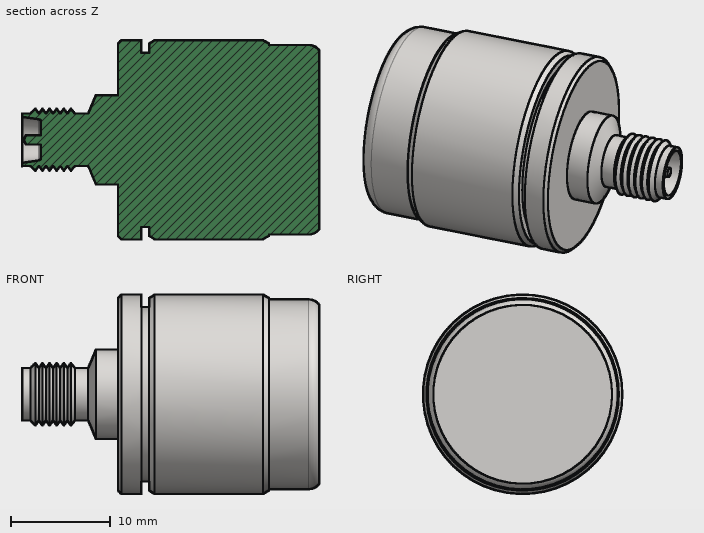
import cadquery as cq

total_length = 29.75

barrel_radius = 2.65
thread_crest_radius = 3.12
thread_pitch = 0.7
thread_count = 6
first_crest_x = 1.3
thread_lead_length = 0.48
thread_runout_length = 0.4
barrel_end_x = 6.6

shoulder_radius = 4.5
shoulder_cone_end_x = 7.38

body_radius = 10.0
flange_start_x = 9.58
flange_end_x = 11.93
flange_chamfer = 0.35

neck_radius = 8.75
body_start_x = 12.7

body_front_chamfer_length = 0.57
body_front_chamfer_depth = 0.35
body_rear_chamfer_start_x = 24.1
body_rear_chamfer_depth = 0.35
collar_start_x = 24.72
collar_radius = 9.52
collar_round_length = 1.07
collar_round_depth = 0.57

bore_mouth_radius = 2.3
bore_end_radius = 2.05
bore_taper_depth = 1.65
floor_radius = 1.95
floor_x = 1.85
pin_radius = 0.48
pin_tip_x = 0.15
pin_tip_length = 0.2


def revolve_about_x(outline):
    """Turn a closed (x, radius) outline once around the X axis."""
    return outline.revolve(360, (0, 0, 0), (1, 0, 0))


def thread_points():
    """Crests and roots of the V-shaped ridges, from the first lead-in to the run-out."""
    points = [(first_crest_x - thread_lead_length, barrel_radius)]
    for i in range(thread_count):
        crest_x = first_crest_x + i * thread_pitch
        is_last = i == thread_count - 1
        root_offset = thread_runout_length if is_last else thread_pitch / 2
        points.append((crest_x, thread_crest_radius))
        points.append((crest_x + root_offset, barrel_radius))
    return points


def make_turned_body():
    """Revolve the outer outline, given as (x, radius), about the X axis."""
    flange_edge_radius = body_radius - flange_chamfer
    outline = cq.Workplane("XY").moveTo(0, 0).lineTo(0, barrel_radius)
    for point in thread_points():
        outline = outline.lineTo(*point)
    outline = (
        outline
        .lineTo(barrel_end_x, barrel_radius)
        .lineTo(shoulder_cone_end_x, shoulder_radius)
        .lineTo(flange_start_x, shoulder_radius)
        .lineTo(flange_start_x, flange_edge_radius)
        .lineTo(flange_start_x + flange_chamfer, body_radius)
        .lineTo(flange_end_x, body_radius)
        .lineTo(flange_end_x, neck_radius)
        .lineTo(body_start_x, neck_radius)
        .lineTo(body_start_x, body_radius - body_front_chamfer_depth)
        .lineTo(body_start_x + body_front_chamfer_length, body_radius)
        .lineTo(body_rear_chamfer_start_x, body_radius)
        .lineTo(collar_start_x, body_radius - body_rear_chamfer_depth)
        .lineTo(collar_start_x, collar_radius)
        .lineTo(total_length - collar_round_length, collar_radius)
        .tangentArcPoint((total_length, collar_radius - collar_round_depth), relative=False)
        .lineTo(total_length, 0)
        .close()
    )
    return revolve_about_x(outline)


def make_bore():
    """Slightly tapered socket with a short, steeper cone leading to its flat floor."""
    outline = (
        cq.Workplane("XY")
        .moveTo(0, 0)
        .lineTo(0, bore_mouth_radius)
        .lineTo(bore_taper_depth, bore_end_radius)
        .lineTo(floor_x, floor_radius)
        .lineTo(floor_x, 0)
        .close()
    )
    return revolve_about_x(outline)


def make_pin():
    """Centre pin with a conical tip, rooted in the body behind the bore floor."""
    root_x = floor_x + pin_radius
    outline = (
        cq.Workplane("XY")
        .moveTo(pin_tip_x, 0)
        .lineTo(pin_tip_x + pin_tip_length, pin_radius)
        .lineTo(root_x, pin_radius)
        .lineTo(root_x, 0)
        .close()
    )
    return revolve_about_x(outline)


result = make_turned_body().cut(make_bore()).union(make_pin())